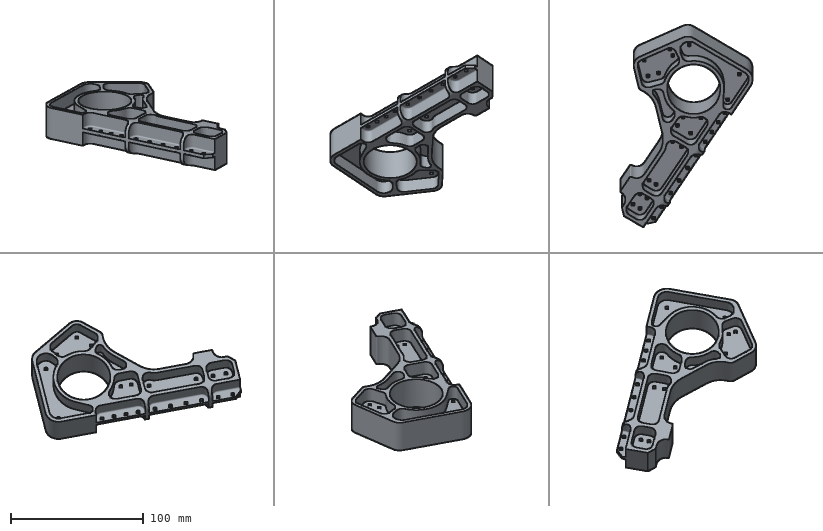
import cadquery as cq
import math

LENGTH = 150.0
THICKNESS = 25.0
WEB = 3.0
WALL = 3.0
LOBE = 5.0
HOLE_DIAMETER = 2.5

BORE = (35.0, 35.0)
BORE_RADIUS = 20.0
RING_RADIUS = BORE_RADIUS + WALL

FOOT_RADIUS = 10.0
SHOULDER = (8.0, 57.35)
APEX = (38.7, 76.85)
APEX_RADIUS = LOBE + WALL
NOSE = (51.8, 68.1)
NOSE_RADIUS = 5.0
COVE_RADIUS = 20.0
COVE_ANGLE = 5.6
ARM_HEIGHT = 30.0
END_CHAMFER = 5.0
LUG_LEFT, LUG_RIGHT, LUG_TOP = 120.0, 135.0, 38.0
LUG_FLARE = 7.0
LUG_CORNER = 1.0

SHELF_ROW = 2.75
LOW_ROW = SHELF_ROW + 2 * LOBE + WALL
HIGH_ROW = ARM_HEIGHT - WALL - LOBE
RIB_STARTS = (75.0, 124.0)
SHELF_START = 37.15

SHELF_FILLET = 1.0
RIB_ROUND = 7.5
SHELF_HOLE_COUNT = 4
LAST_SHELF_HOLE_X = 143.2


def around(centre, distance, degrees):
    """Point at a distance and direction from a centre."""
    angle = math.radians(degrees)
    return centre[0] + distance * math.cos(angle), centre[1] + distance * math.sin(angle)


def ring_lobe(degrees, radius=LOBE):
    """Circle touching the outside of the ring wall in the given direction from the bore."""
    return (*around(BORE, RING_RADIUS + radius, degrees), radius)


def ring_lobe_on_row(row):
    """Usual lobe touching the right side of the ring wall, centred on a row."""
    return ring_lobe(math.degrees(math.asin((row - BORE[1]) / (RING_RADIUS + LOBE))))


def tangent_heading(first, second):
    """Heading of the line leaving one circle and joining the next one tangentially."""
    dx = second[0] - first[0]
    dy = second[1] - first[1]
    ratio = (second[2] - first[2]) / math.hypot(dx, dy)
    return math.atan2(dy, dx) - math.asin(max(-1.0, min(1.0, ratio)))


def point_at(circle, heading):
    """Point of a circle where a path with this heading touches it."""
    x, y, radius = circle
    return x + radius * math.sin(heading), y - radius * math.cos(heading)


def belt(circles, bottom, height):
    """Prism bounded by a counter-clockwise belt of (x, y, radius) circles.

    A positive radius is a convex corner, a negative one a concave sweep and zero a sharp corner.
    """
    tolerance = 1e-4
    headings = [tangent_heading(circles[i - 1], circles[i]) for i in range(len(circles))]
    here = point_at(circles[-1], headings[0])
    path = cq.Workplane("XY", origin=(0, 0, bottom)).moveTo(*here)
    for i, circle in enumerate(circles):
        arrive = headings[i]
        leave = headings[(i + 1) % len(circles)]
        start = point_at(circle, arrive)
        if math.dist(here, start) > tolerance:
            path = path.lineTo(*start)
            here = start
        if circle[2] != 0:
            turn = (leave - arrive) % math.tau
            if circle[2] < 0:
                turn -= math.tau
            middle = point_at(circle, arrive + turn / 2)
            here = point_at(circle, leave)
            path = path.threePointArc(middle, here)
    return path.close().extrude(height)


UPPER_COVE = around(NOSE, NOSE_RADIUS + COVE_RADIUS, -COVE_ANGLE)
LOWER_COVE_Y = ARM_HEIGHT + COVE_RADIUS
LOWER_COVE = (UPPER_COVE[0] + UPPER_COVE[1] - LOWER_COVE_Y, LOWER_COVE_Y)
POCKET_COVE = COVE_RADIUS + WALL

RIB_CORNERS = [(start - LOBE, start + WALL + LOBE) for start in RIB_STARTS]
(BAY_1_RIGHT, BAY_2_LEFT), (BAY_2_RIGHT, BAY_3_LEFT) = RIB_CORNERS
BAY_3_RIGHT = LENGTH - WALL - LOBE
BAY_1_LEFT = SHELF_START + LOBE

APEX_LEFT = (20.65, 65.35)
APEX_RIGHT = (47.9, 67.7)
APEX_LOW_LEFT = ring_lobe(113.2)
APEX_LOW_RIGHT = ring_lobe(76.1)

SIDE_TOP = (10.0, 54.7)
SIDE_RADIUS = FOOT_RADIUS - WALL
TIP_RADIUS = 3.5
TIP_X = 32.2
SIDE_LOBE = ring_lobe(139.5)

KNEE_ROW = 27.5
KNEE_HIGH = ring_lobe_on_row(KNEE_ROW)
KNEE_LOW = ring_lobe_on_row(LOW_ROW)

ARM_PEAK = (BAY_2_LEFT, 23.65)
ARM_BLEND_RADIUS = 10.0
ARM_BLEND_Y = ARM_HEIGHT - WALL + ARM_BLEND_RADIUS
ARM_BLEND_REACH = math.sqrt((ARM_BLEND_RADIUS + LOBE) ** 2 - (ARM_BLEND_Y - ARM_PEAK[1]) ** 2)
ARM_BLEND = (ARM_PEAK[0] + ARM_BLEND_REACH, ARM_BLEND_Y)


def side_pocket():
    return [
        (FOOT_RADIUS, FOOT_RADIUS, SIDE_RADIUS),
        (TIP_X, WALL + TIP_RADIUS, TIP_RADIUS),
        (*BORE, -RING_RADIUS),
        SIDE_LOBE,
        (*SIDE_TOP, SIDE_RADIUS),
    ]


def apex_pocket():
    return [
        (*APEX, LOBE),
        (*APEX_LEFT, LOBE),
        APEX_LOW_LEFT,
        (*BORE, -RING_RADIUS),
        APEX_LOW_RIGHT,
        (*APEX_RIGHT, LOBE),
    ]


def crescent_pocket():
    """Slot between the ring and the concave edge: rounded toe and heel below, brow and crown above."""
    floor_y = KNEE_ROW + LOBE + WALL
    heel_radius = 4.0
    heel_y = floor_y + heel_radius
    edge_sum = sum(UPPER_COVE) - math.sqrt(2) * (POCKET_COVE + heel_radius)
    crown_radius = 2.5
    crown_direction = 197.8
    crown = around(UPPER_COVE, POCKET_COVE + crown_radius, crown_direction)
    brow_radius = 4.0
    brow_direction = 49.5
    return [
        ring_lobe_on_row(floor_y + LOBE),
        (edge_sum - heel_y, heel_y, heel_radius),
        (*UPPER_COVE, -POCKET_COVE),
        (*crown, crown_radius),
        ring_lobe(brow_direction, brow_radius),
        (*BORE, -RING_RADIUS),
    ]


def knee_pocket():
    return [
        (BAY_1_RIGHT, LOW_ROW, LOBE),
        (BAY_1_RIGHT, KNEE_ROW, LOBE),
        KNEE_HIGH,
        (*BORE, -RING_RADIUS),
        KNEE_LOW,
    ]


def arm_pocket():
    return [
        (BAY_2_LEFT, LOW_ROW, LOBE),
        (BAY_2_RIGHT, LOW_ROW, LOBE),
        (BAY_2_RIGHT, HIGH_ROW, LOBE),
        (*ARM_BLEND, -ARM_BLEND_RADIUS),
        (*ARM_PEAK, LOBE),
    ]


def end_pocket():
    return [
        (BAY_3_LEFT, LOW_ROW, LOBE),
        (BAY_3_RIGHT, LOW_ROW, LOBE),
        (BAY_3_RIGHT, HIGH_ROW, LOBE),
        (BAY_3_LEFT, HIGH_ROW, LOBE),
    ]


TOP = THICKNESS / 2
FLOOR = WEB / 2
DEPTH = TOP - FLOOR
OVERRUN = 5.0


def body():
    outline = [
        (FOOT_RADIUS, FOOT_RADIUS, FOOT_RADIUS),
        (LENGTH - END_CHAMFER, 0, 0),
        (LENGTH, END_CHAMFER, 0),
        (LENGTH, ARM_HEIGHT - END_CHAMFER, 0),
        (LENGTH - END_CHAMFER, ARM_HEIGHT, 0),
        (LUG_RIGHT + LUG_FLARE, ARM_HEIGHT + LUG_FLARE, -LUG_FLARE),
        (LUG_RIGHT - LUG_CORNER, LUG_TOP - LUG_CORNER, LUG_CORNER),
        (LUG_LEFT + LUG_CORNER, LUG_TOP - LUG_CORNER, LUG_CORNER),
        (LUG_LEFT - LUG_FLARE, ARM_HEIGHT + LUG_FLARE, -LUG_FLARE),
        (*LOWER_COVE, -COVE_RADIUS),
        (*UPPER_COVE, -COVE_RADIUS),
        (*NOSE, NOSE_RADIUS),
        (*APEX, APEX_RADIUS),
        (*SHOULDER, SHOULDER[0]),
    ]
    bore = cq.Workplane("XY", origin=(*BORE, -TOP)).circle(BORE_RADIUS).extrude(THICKNESS)
    return belt(outline, -TOP, THICKNESS).cut(bore)


def shelf_cutter(left, right):
    """Notch open to the front edge, between two side faces, with a fillet along its floor."""
    outline = [
        (left, -OVERRUN, 0),
        (right, -OVERRUN, 0),
        (right - LOBE, SHELF_ROW, LOBE),
        (left + LOBE, SHELF_ROW, LOBE),
    ]
    return belt(outline, FLOOR, DEPTH).faces("<Z").edges().fillet(SHELF_FILLET)


def rib_cutter(left, right):
    """Rounds the front top edge of the rib between two shelves."""
    return (
        cq.Workplane("YZ", origin=(left, 0, 0))
        .moveTo(0, TOP - RIB_ROUND)
        .radiusArc((RIB_ROUND, TOP), RIB_ROUND)
        .lineTo(0, TOP)
        .close()
        .extrude(right - left)
    )


def spread(first, last, count):
    """Evenly spaced values including both ends."""
    return [first + (last - first) * i / (count - 1) for i in range(count)]


def screw_holes():
    shelf_columns = (
        spread(BAY_1_LEFT, BAY_1_RIGHT, SHELF_HOLE_COUNT)
        + spread(BAY_2_LEFT, BAY_2_RIGHT, SHELF_HOLE_COUNT)
        + [BAY_3_LEFT, LAST_SHELF_HOLE_X]
    )
    centres = [(x, SHELF_ROW) for x in shelf_columns]
    centres += [(FOOT_RADIUS, FOOT_RADIUS), (TIP_X, WALL + TIP_RADIUS), SIDE_TOP]
    centres += [APEX, APEX_LEFT, APEX_LOW_LEFT[:2], APEX_LOW_RIGHT[:2], APEX_RIGHT]
    centres += [KNEE_HIGH[:2], KNEE_LOW[:2], (BAY_1_RIGHT, KNEE_ROW), (BAY_1_RIGHT, LOW_ROW)]
    centres += [ARM_PEAK, (BAY_2_LEFT, LOW_ROW)]
    centres += [(x, y) for x in (BAY_2_RIGHT, BAY_3_LEFT, BAY_3_RIGHT) for y in (LOW_ROW, HIGH_ROW)]
    plane = cq.Workplane("XY", origin=(0, 0, -TOP))
    return plane.pushPoints(centres).circle(HOLE_DIAMETER / 2).extrude(THICKNESS)


def upper_cutters():
    """Everything removed from the upper half, the lower half being its mirror image."""
    pockets = [side_pocket(), apex_pocket(), crescent_pocket(), knee_pocket(), arm_pocket(), end_pocket()]
    cutters = [belt(outline, FLOOR, DEPTH) for outline in pockets]
    shelf_lefts = [SHELF_START] + [start + WALL for start in RIB_STARTS]
    shelf_rights = [*RIB_STARTS, LENGTH + 2 * OVERRUN]
    cutters += [shelf_cutter(left, right) for left, right in zip(shelf_lefts, shelf_rights)]
    cutters += [rib_cutter(left, right) for left, right in RIB_CORNERS]
    return cutters


result = body()
for cutter in upper_cutters():
    result = result.cut(cutter).cut(cutter.mirror("XY"))
result = result.cut(screw_holes())